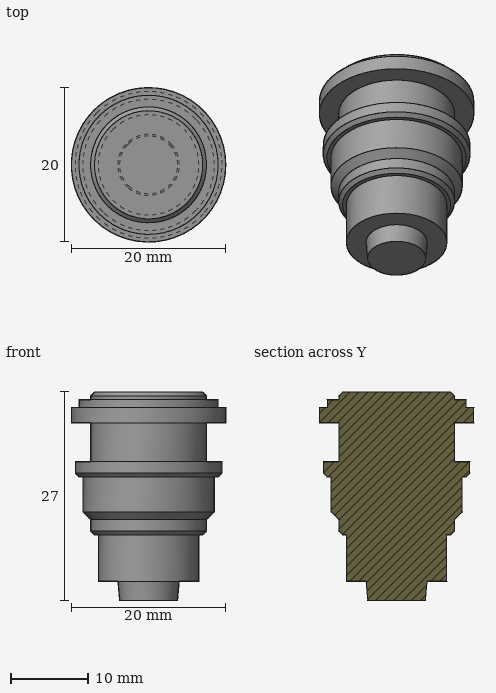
import cadquery as cq

tip_end_diameter = 7.5
stem_diameter = 13.0
collar_diameter = 15.0
barrel_diameter = 17.0
lower_flange_diameter = 19.0
neck_diameter = 15.0
head_flange_diameter = 20.0
head_step_diameter = 18.0
cap_diameter = 15.0

tip_height = 2.5
stem_height = 6.0
collar_height = 2.0
barrel_height = 5.5
lower_flange_height = 2.0
neck_height = 5.0
head_flange_height = 2.0
head_step_height = 1.0
cap_height = 1.0

edge_chamfer = 0.5
barrel_chamfer = (barrel_diameter - collar_diameter) / 2
tip_draft_angle = 5.0

stem_base = tip_height
collar_base = stem_base + stem_height
barrel_base = collar_base + collar_height
lower_flange_base = barrel_base + barrel_height
neck_base = lower_flange_base + lower_flange_height
head_flange_base = neck_base + neck_height
head_step_base = head_flange_base + head_flange_height
cap_base = head_step_base + head_step_height


def cylinder(diameter, base, height):
    """Upright cylinder on the Z axis, standing at the given base height."""
    return cq.Workplane("XY", origin=(0, 0, base)).circle(diameter / 2).extrude(height)


def make_tip():
    """Conical tip that widens from its end to the stem."""
    return cq.Workplane("XY").circle(tip_end_diameter / 2).extrude(tip_height, taper=-tip_draft_angle)


def make_body():
    """Stem, collar and barrel, with the lower edges of collar and barrel chamfered."""
    stem = cylinder(stem_diameter, stem_base, stem_height)
    collar = cylinder(collar_diameter, collar_base, collar_height).faces("<Z").chamfer(edge_chamfer)
    barrel = cylinder(barrel_diameter, barrel_base, barrel_height).faces("<Z").chamfer(barrel_chamfer)
    return stem.union(collar).union(barrel)


def make_flange_and_neck():
    """Lower flange with a chamfered lower edge, and the neck above it."""
    flange = cylinder(lower_flange_diameter, lower_flange_base, lower_flange_height)
    flange = flange.faces("<Z").chamfer(edge_chamfer)
    neck = cylinder(neck_diameter, neck_base, neck_height)
    return flange.union(neck)


def make_head():
    """Wide flange, step and cap, with the upper edge of the cap chamfered."""
    flange = cylinder(head_flange_diameter, head_flange_base, head_flange_height)
    step = cylinder(head_step_diameter, head_step_base, head_step_height)
    cap = cylinder(cap_diameter, cap_base, cap_height).faces(">Z").chamfer(edge_chamfer)
    return flange.union(step).union(cap)


result = make_tip().union(make_body()).union(make_flange_and_neck()).union(make_head())